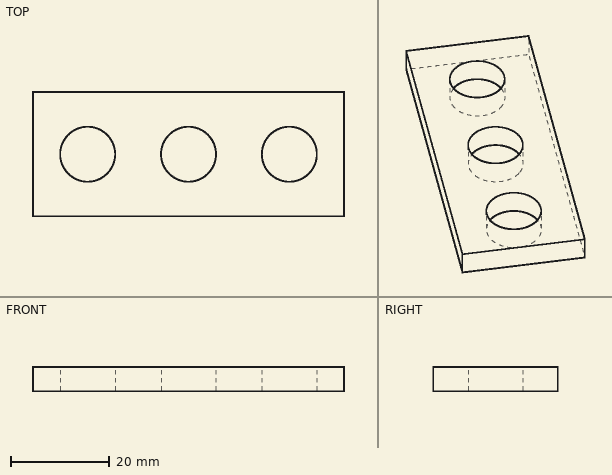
import cadquery as cq

plate_length = 63.5
plate_width = 25.4
plate_thickness = 5.0

hole_diameter = 11.18
hole_count = 3
hole_pitch = 20.57


def make_plate():
    """Flat rectangular plate centred on the origin."""
    return cq.Workplane("XY").box(plate_length, plate_width, plate_thickness)


def drill_hole_row(plate):
    """Drill the evenly spaced row of through holes, centred on the plate."""
    return (
        plate.faces(">Z")
        .workplane()
        .rarray(hole_pitch, plate_width, hole_count, 1)
        .hole(hole_diameter)
    )


result = drill_hole_row(make_plate())